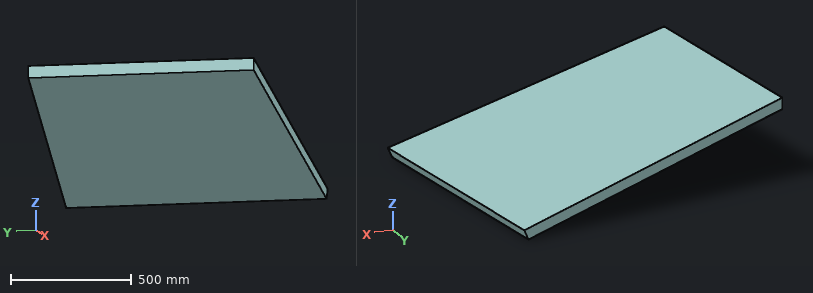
import cadquery as cq

total_height = 354.0
run = 1298.0
high_edge_length = 955.0
front_flare = 76.0
back_flare = 75.0
heading = 6.7

low_edge_drop = 47.0
low_edge_setback = 21.0

slope = (total_height - low_edge_drop) / run
vertical_thickness = low_edge_drop + slope * low_edge_setback


def sloping_slab():
    """Side profile of the panel, extruded along its level edges."""
    profile = [
        (0, total_height),
        (run, low_edge_drop),
        (run - low_edge_setback, 0),
        (0, total_height - vertical_thickness),
    ]
    slab_length = high_edge_length + front_flare + back_flare
    slab = cq.Workplane("XZ").polyline(profile).close().extrude(-slab_length)
    return slab.translate((0, -front_flare, 0))


def plan_prism():
    """Vertical prism over the four-sided plan of the panel."""
    plan = [
        (0, 0),
        (run, -front_flare),
        (run, high_edge_length + back_flare),
        (0, high_edge_length),
    ]
    return cq.Workplane("XY").polyline(plan).close().extrude(total_height)


panel = sloping_slab().intersect(plan_prism())
result = panel.rotate((0, 0, 0), (0, 0, 1), heading)